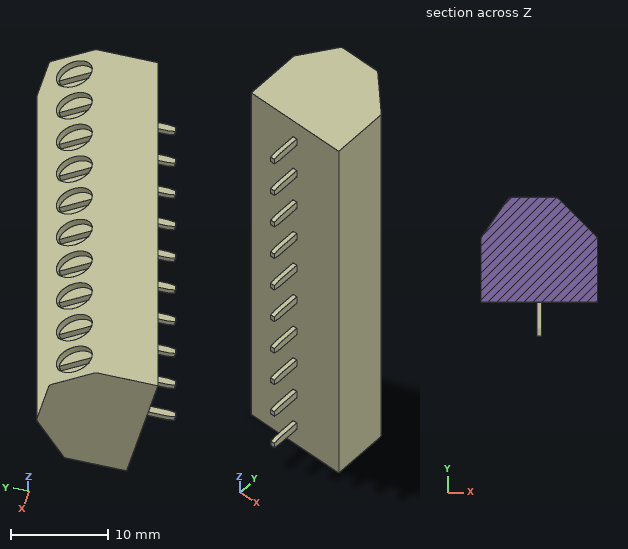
import cadquery as cq
import math

width = 12.0
depth = 10.8
pole_count = 10
pitch = 5.0
end_margin = 3.0
length = (pole_count - 1) * pitch + 2 * end_margin

slant_drop = 4.15
screw_slant_angle = 35.0
wire_slant_angle = 45.0
screw_slant_run = slant_drop * math.tan(math.radians(screw_slant_angle))
wire_slant_run = slant_drop * math.tan(math.radians(wire_slant_angle))
edge_radius = 0.5

screw_diameter = 3.9
screw_center_drop = 2.23
screw_recess = 0.7
slot_width = 0.8
slot_depth = 0.85

pin_length = 3.5
pin_thickness = 0.5
pin_width = 1.0
pin_tip_length = 0.8
pin_tip_inset = 0.15

left = -width / 2
right = width / 2
back = depth / 2
front = -depth / 2
pole_heights = [(i - (pole_count - 1) / 2) * pitch for i in range(pole_count)]


def housing():
    """Prism with every long edge rounded except the two on the -Y face."""
    outline = [
        (left, front),
        (right, front),
        (right, back - slant_drop),
        (right - wire_slant_run, back),
        (left + screw_slant_run, back),
        (left, back - slant_drop),
    ]
    block = cq.Workplane("XY").polyline(outline).close().extrude(length / 2, both=True)
    return block.edges("|Z and (not <Y)").fillet(edge_radius)


def screw_cavity(z):
    """Round recess square to the slanted face, with a driver slot across its floor."""
    slant_length = math.hypot(screw_slant_run, slant_drop)
    across = (screw_slant_run / slant_length, slant_drop / slant_length, 0)
    outward = (-across[1], across[0], 0)
    center_x = left + screw_slant_run * (1 - screw_center_drop / slant_drop)
    face = cq.Plane((center_x, back - screw_center_drop, z), xDir=across, normal=outward)
    total_depth = screw_recess + slot_depth
    recess = cq.Workplane(face).circle(screw_diameter / 2).extrude(-screw_recess)
    slot_bounds = cq.Workplane(face).circle(screw_diameter / 2).extrude(-total_depth)
    slot = cq.Workplane(face).rect(screw_diameter, slot_width).extrude(-total_depth)
    return recess.union(slot.intersect(slot_bounds))


def pin(z):
    """Flat pin whose width narrows near its tip."""
    half = pin_width / 2
    tip_half = half - pin_tip_inset
    tip = front - pin_length
    taper_start = tip + pin_tip_length
    outline = [
        (front, z - half),
        (front, z + half),
        (taper_start, z + half),
        (tip, z + tip_half),
        (tip, z - tip_half),
        (taper_start, z - half),
    ]
    return cq.Workplane("YZ").polyline(outline).close().extrude(pin_thickness / 2, both=True)


result = housing()
for height in pole_heights:
    result = result.cut(screw_cavity(height)).union(pin(height))